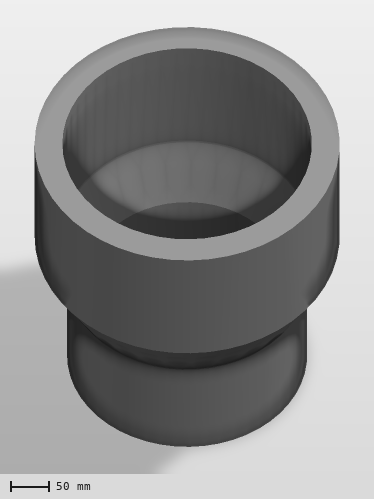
import cadquery as cq

large_diameter = 400.0
large_wall = 36.4
small_diameter = 315.0
small_wall = 28.6

total_height = 430.0
small_length = 158.0
large_length = 189.0
outer_fillet = 5.0
bore_fillet = 8.0

large_outer_radius = large_diameter / 2
small_outer_radius = small_diameter / 2
large_bore_radius = large_outer_radius - large_wall
small_bore_radius = small_outer_radius - small_wall

taper_bottom = small_length
taper_top = total_height - large_length


def stepped_solid(small_radius, large_radius):
    """Solid of revolution: small cylinder, cone, large cylinder."""
    return (
        cq.Workplane("XZ")
        .lineTo(small_radius, 0)
        .lineTo(small_radius, taper_bottom)
        .lineTo(large_radius, taper_top)
        .lineTo(large_radius, total_height)
        .lineTo(0, total_height)
        .close()
        .revolve(360, (0, 0), (0, 1))
    )


def round_corner(solid, height, radius):
    """Fillet the circular edge whose centre lies at the given height."""
    corner = cq.selectors.NearestToPointSelector((0, 0, height))
    return solid.edges("%CIRCLE").edges(corner).fillet(radius)


outer_body = stepped_solid(small_outer_radius, large_outer_radius)
outer_body = round_corner(outer_body, taper_bottom, outer_fillet)
bore = stepped_solid(small_bore_radius, large_bore_radius)
bore = round_corner(bore, taper_top, bore_fillet)
result = outer_body.cut(bore)